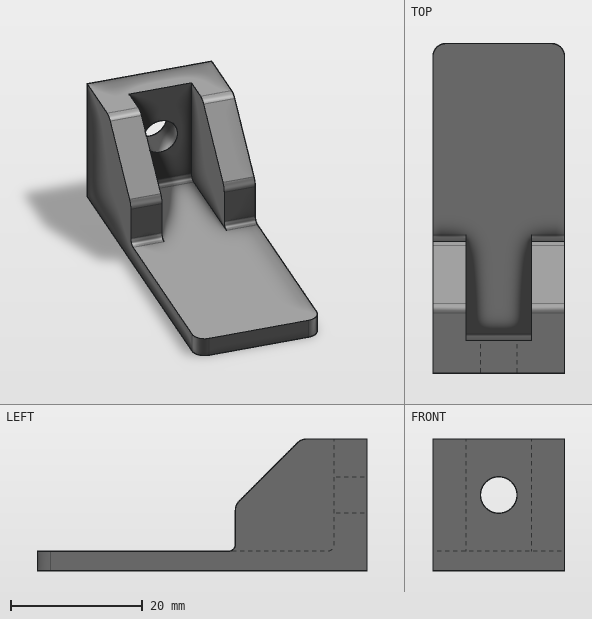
import cadquery as cq

width = 20.0
length = 50.0
height = 20.0

plate_thickness = 3.0
plate_corner_radius = 2.0

block_length = 20.0
slope_size = 10.0
slope_edge_radius = 2.0
root_fillet_radius = 1.0

slot_width = 10.0
front_wall_thickness = 5.0

hole_diameter = 5.5
hole_height = 11.5


def make_plate():
    """Base plate along Y with its two far corners rounded."""
    plate = cq.Workplane("XY").box(width, length, plate_thickness, centered=(True, False, False))
    return plate.edges("|Z and >Y").fillet(plate_corner_radius)


def make_block():
    """Block with the sloped rear top edge, both ends of the slope rounded."""
    block = cq.Workplane("XY").box(width, block_length, height, centered=(True, False, False))
    block = block.edges(">Y and >Z").chamfer(slope_size)
    slope_bottom = height - slope_size
    slope_top = block_length - slope_size
    block = block.edges(cq.selectors.NearestToPointSelector((0, block_length, slope_bottom))).fillet(
        slope_edge_radius
    )
    return block.edges(cq.selectors.NearestToPointSelector((0, slope_top, height))).fillet(slope_edge_radius)


def make_slot():
    """Volume of the slot: above the plate, behind the front wall, open to the rear."""
    return (
        cq.Workplane("XY", origin=(0, front_wall_thickness, plate_thickness))
        .box(slot_width, length, height, centered=(True, False, False))
    )


def make_bolt_hole():
    """Cylinder that pierces the front wall along Y."""
    return (
        cq.Workplane("XZ", origin=(0, 0, hole_height))
        .circle(hole_diameter / 2)
        .extrude(-block_length)
    )


def add_root_fillets(body):
    """Round the corners where the cheeks and the front wall rise from the plate."""
    half_slot = slot_width / 2
    cheek_center = (width / 2 + half_slot) / 2
    root_points = [
        (-cheek_center, block_length, plate_thickness),
        (cheek_center, block_length, plate_thickness),
        (0, front_wall_thickness, plate_thickness),
    ]
    for point in root_points:
        root_edge = cq.selectors.NearestToPointSelector(point)
        body = body.edges(root_edge).fillet(root_fillet_radius)
    return body


body = make_plate().union(make_block()).cut(make_slot())
body = add_root_fillets(body)
result = body.cut(make_bolt_hole())